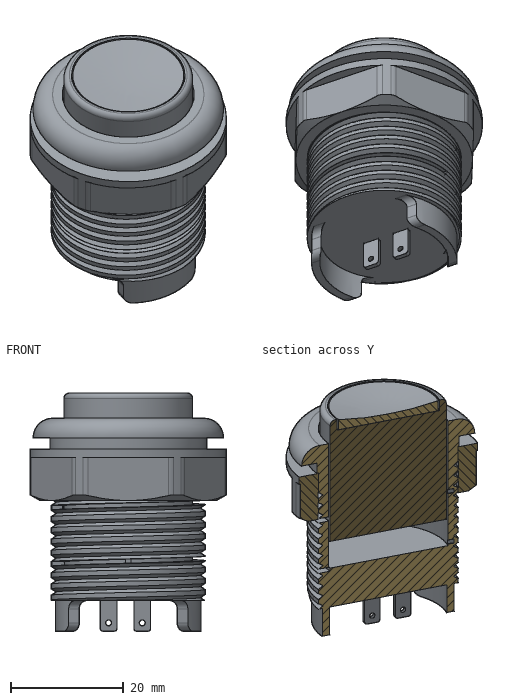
import cadquery as cq
import math


bezel_radius = 17.0
bezel_height = 3.5
button_bore_radius = 23.5 / 2
neck_radius = 28.0 / 2
neck_length = 2.0

thread_radius = 27.5 / 2
thread_pitch = 2.0
groove_width = 1.15
groove_depth = 0.85
barrel_bottom = -29.0
lowest_crest = -27.5
core_radius = 23.0 / 2
cavity_bottom = -21.2
overshoot = 0.3

slot_outer_width = 0.8
slot_inner_width = 0.7
slot_starts = (-22.5, -12.5)
slot_land_half_angle = 8.0

key_width = 1.0
key_depth = 0.5
key_height = 1.5

leg_outer_radius = 13.0
leg_width = 15.0
leg_length = 5.5
leg_corner_radius = 1.5
leg_tip = barrel_bottom - leg_length

nut_radius = 35.0 / 2
nut_top = -neck_length
nut_flange_height = 1.5
nut_height = 9.2
nut_across_flats = 31.5
nut_edge_radius = 2.0
nut_chamfer_angle = 30.0

button_radius = 23.0 / 2
button_top = 8.0
button_edge_radius = 1.0
button_bottom = -16.0
recess_radius = 10.1
lens_radius = 9.9
lens_edge_height = 7.9
lens_thickness = 2.0
dish_depth = 0.8

terminal_width = 3.0
terminal_thickness = 0.8
terminal_positions = (-3.5, 2.5)
terminal_embedding = 4.0
terminal_corner_radius = 0.5
terminal_hole_diameter = 1.0
terminal_hole_height = 1.5


def cylinder(radius, bottom, top):
    return cq.Workplane("XY").workplane(offset=bottom).circle(radius).extrude(top - bottom)


def helical_cutter(profile, start_height, turns, start_angle):
    """Sweep an (r, z) profile up a right-handed helix that starts at the given height and angle."""
    helix = cq.Wire.makeHelix(thread_pitch, turns * thread_pitch, thread_radius)
    cutter = cq.Workplane("XZ").polyline(profile).close().sweep(cq.Workplane(helix), isFrenet=True)
    return cutter.rotate((0, 0, 0), (0, 0, 1), start_angle).translate((0, 0, start_height))


def thread_groove():
    half_width = groove_width / 2 * (1 + overshoot / groove_depth)
    profile = [
        (thread_radius - groove_depth, 0),
        (thread_radius + overshoot, -half_width),
        (thread_radius + overshoot, half_width),
    ]
    lowest_groove = lowest_crest - 1.5 * thread_pitch
    turns = math.floor((nut_top - lowest_groove) / thread_pitch) - 1
    return helical_cutter(profile, lowest_groove, turns, 0)


def crest_slot(start_height):
    profile = [
        (core_radius, -slot_inner_width / 2),
        (thread_radius + overshoot, -slot_outer_width / 2),
        (thread_radius + overshoot, slot_outer_width / 2),
        (core_radius, slot_inner_width / 2),
    ]
    land_turns = slot_land_half_angle / 360
    first_height = start_height + land_turns * thread_pitch
    return helical_cutter(profile, first_height, 1 - 2 * land_turns, 180 + slot_land_half_angle)


def key_notch():
    return (
        cq.Workplane("XY")
        .box(key_width, 2 * key_depth, key_height, centered=(True, True, False))
        .translate((0, -core_radius, cavity_bottom - key_height))
    )


def make_legs():
    """Two opposite tube segments with flared roots and rounded tips."""
    half_width = leg_width / 2
    r = leg_corner_radius
    outline = (
        cq.Workplane("YZ")
        .moveTo(-half_width - r, barrel_bottom)
        .radiusArc((-half_width, barrel_bottom - r), r)
        .lineTo(-half_width, leg_tip + r)
        .radiusArc((-half_width + r, leg_tip), -r)
        .lineTo(half_width - r, leg_tip)
        .radiusArc((half_width, leg_tip + r), -r)
        .lineTo(half_width, barrel_bottom - r)
        .radiusArc((half_width + r, barrel_bottom), r)
        .close()
        .extrude(leg_outer_radius + 1, both=True)
    )
    tube = cylinder(leg_outer_radius, leg_tip, barrel_bottom).cut(
        cylinder(core_radius, leg_tip, barrel_bottom)
    )
    return tube.intersect(outline)


def terminal_blank(x):
    height = leg_length + terminal_embedding
    return (
        cq.Workplane("XY")
        .box(terminal_width, terminal_thickness, height, centered=(True, True, False))
        .translate((x, 0, leg_tip))
    )


def make_housing():
    bezel_flat_radius = bezel_radius - bezel_height
    arc_offset = bezel_height * math.sqrt(0.5)
    bezel = (
        cq.Workplane("XZ")
        .lineTo(bezel_radius, 0)
        .threePointArc((bezel_flat_radius + arc_offset, arc_offset), (bezel_flat_radius, bezel_height))
        .lineTo(0, bezel_height)
        .close()
        .revolve(360, (0, 0), (0, 1))
    )
    barrel = cylinder(thread_radius, barrel_bottom, -neck_length).cut(thread_groove())
    for start_height in slot_starts:
        barrel = barrel.cut(crest_slot(start_height))
    body = barrel.union(cylinder(neck_radius, -neck_length, 0)).union(bezel).union(make_legs())
    body = body.cut(cylinder(button_bore_radius, cavity_bottom, bezel_height)).cut(key_notch())
    for x in terminal_positions:
        body = body.cut(terminal_blank(x))
    return body


def make_nut():
    bottom = nut_top - nut_height
    flats = (
        cq.Workplane("XY")
        .workplane(offset=bottom)
        .polygon(6, nut_across_flats, circumscribed=True)
        .extrude(nut_height)
        .rotate((0, 0, 0), (0, 0, 1), 30)
        .intersect(cylinder(nut_radius, bottom, nut_top))
        .edges("|Z")
        .fillet(nut_edge_radius)
    )
    inscribed_radius = nut_across_flats / 2
    chamfer_height = (nut_radius - inscribed_radius) * math.tan(math.radians(nut_chamfer_angle))
    chamfer_envelope = (
        cq.Workplane("XZ")
        .moveTo(0, bottom)
        .lineTo(inscribed_radius, bottom)
        .lineTo(nut_radius, bottom + chamfer_height)
        .lineTo(nut_radius, nut_top)
        .lineTo(0, nut_top)
        .close()
        .revolve(360, (0, 0), (0, 1))
    )
    flange = cylinder(nut_radius, nut_top - nut_flange_height, nut_top)
    nut = flats.intersect(chamfer_envelope).union(flange)
    return nut.cut(cylinder(thread_radius, bottom, nut_top))


def make_button():
    body = cylinder(button_radius, button_bottom, button_top).faces(">Z").edges().fillet(button_edge_radius)
    recess_floor = lens_edge_height - lens_thickness
    return body.cut(cylinder(recess_radius, recess_floor, button_top))


def make_lens():
    """Disc with a shallow spherical dish in its top."""
    sphere_radius = (lens_radius**2 + dish_depth**2) / (2 * dish_depth)
    sphere_centre = lens_edge_height - dish_depth + sphere_radius
    dish = cq.Workplane("XY").sphere(sphere_radius).translate((0, 0, sphere_centre))
    return cylinder(lens_radius, lens_edge_height - lens_thickness, lens_edge_height).cut(dish)


def make_terminal(x):
    hole = (
        cq.Workplane("XZ")
        .center(x, leg_tip + terminal_hole_height)
        .circle(terminal_hole_diameter / 2)
        .extrude(terminal_thickness, both=True)
    )
    blade = terminal_blank(x).faces("<Z").edges("|Y").fillet(terminal_corner_radius)
    return blade.cut(hole)


housing = make_housing()
nut = make_nut()
button = make_button()
lens = make_lens()
terminals = [make_terminal(x) for x in terminal_positions]

result = cq.Compound.makeCompound(
    [housing.val(), nut.val(), button.val(), lens.val(), *[terminal.val() for terminal in terminals]]
)